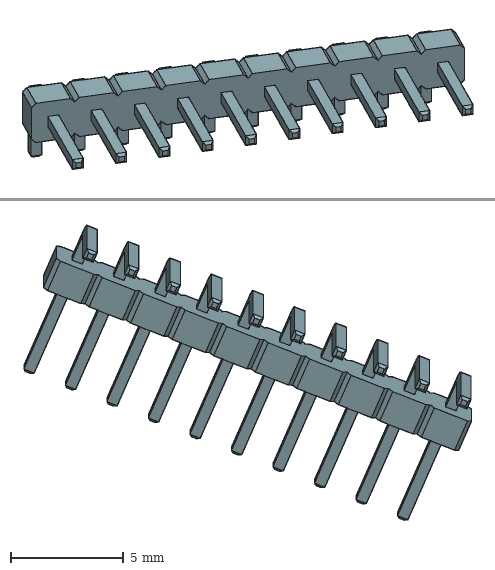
import cadquery as cq


pin_count = 10
pitch = 2.0
row_length = pin_count * pitch

body_width = 1.5
body_height = pitch
cell_chamfer = 0.2

pin_size = 0.5
overall_width = 7.45
overall_height = 4.4
tail_reach = 2.5
tip_chamfer = pin_size / 4

half_pin = pin_size / 2
tail_outer_x = -tail_reach
tail_inner_x = tail_outer_x + pin_size
mating_tip_x = tail_outer_x + overall_width
tail_tip_z = body_height / 2 - overall_height


def make_cell(center_y):
    """One body cell; chamfers of neighbouring cells meet as V notches."""
    cell = cq.Workplane("XY").box(body_width, pitch, body_height)
    return cell.edges("|X").chamfer(cell_chamfer).translate((0, center_y, 0))


def make_pin(center_y):
    """L-shaped pin with a round outer bend, a sharp inner corner and chamfered tips."""
    pin = (
        cq.Workplane("XZ")
        .moveTo(mating_tip_x, half_pin)
        .lineTo(tail_inner_x, half_pin)
        .radiusArc((tail_outer_x, -half_pin), -pin_size)
        .lineTo(tail_outer_x, tail_tip_z)
        .lineTo(tail_inner_x, tail_tip_z)
        .lineTo(tail_inner_x, -half_pin)
        .lineTo(mating_tip_x, -half_pin)
        .close()
        .extrude(half_pin, both=True)
    )
    pin = pin.faces(">X").chamfer(tip_chamfer)
    pin = pin.faces("<Z").chamfer(tip_chamfer)
    return pin.translate((0, center_y, 0))


first_center_y = (pitch - row_length) / 2
pin_centers_y = [first_center_y + index * pitch for index in range(pin_count)]

result = make_cell(pin_centers_y[0])
for center_y in pin_centers_y[1:]:
    result = result.union(make_cell(center_y))
for center_y in pin_centers_y:
    result = result.union(make_pin(center_y))
result = result.clean()